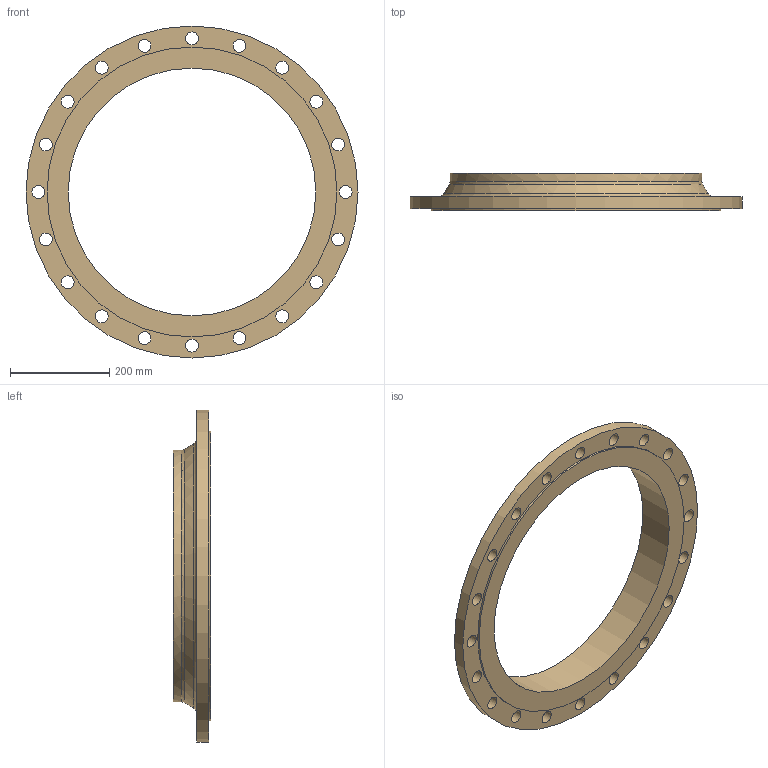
import cadquery as cq
import math

flange_diameter = 670.0
overall_length = 75.0
bore_diameter = 500.0

raised_face_diameter = 585.0
raised_face_height = 4.0
flange_thickness = 28.0

neck_diameter = 508.0
hub_taper_angle = 30.0
stub_length = 16.0
blend_radius = 12.0

bolt_hole_count = 20
bolt_hole_diameter = 26.0
bolt_circle_diameter = 620.0

sealing_face_y = 0.0
plate_front_y = sealing_face_y + raised_face_height
plate_back_y = sealing_face_y + flange_thickness
neck_end_y = sealing_face_y + overall_length

neck_radius = neck_diameter / 2
taper_radians = math.radians(hub_taper_angle)
blend_setback = blend_radius * math.tan(taper_radians / 2)
hub_top_y = neck_end_y - stub_length - blend_setback
hub_base_radius = neck_radius + (hub_top_y - plate_back_y) * math.tan(taper_radians)


def flange_body():
    """Revolved flange plate, raised face, hub and pipe stub around the bore."""
    bore_radius = bore_diameter / 2
    profile = (
        cq.Workplane("ZY")
        .moveTo(bore_radius, sealing_face_y)
        .lineTo(raised_face_diameter / 2, sealing_face_y)
        .lineTo(raised_face_diameter / 2, plate_front_y)
        .lineTo(flange_diameter / 2, plate_front_y)
        .lineTo(flange_diameter / 2, plate_back_y)
        .lineTo(hub_base_radius, plate_back_y)
        .lineTo(neck_radius, hub_top_y)
        .lineTo(neck_radius, neck_end_y)
        .lineTo(bore_radius, neck_end_y)
        .close()
    )
    return profile.revolve(360, (0, 0, 0), (0, 1, 0))


def blend_hub(body):
    """Round the concave corners at the foot and at the top of the hub taper."""
    return body.faces("%CONE").edges("%CIRCLE").fillet(blend_radius)


def bolt_holes():
    """Cylinders through the plate, with one on the +X axis."""
    return (
        cq.Workplane("XZ", origin=(0, plate_back_y, 0))
        .polarArray(bolt_circle_diameter / 2, 0, 360, bolt_hole_count)
        .circle(bolt_hole_diameter / 2)
        .extrude(flange_thickness)
    )


result = blend_hub(flange_body()).cut(bolt_holes())